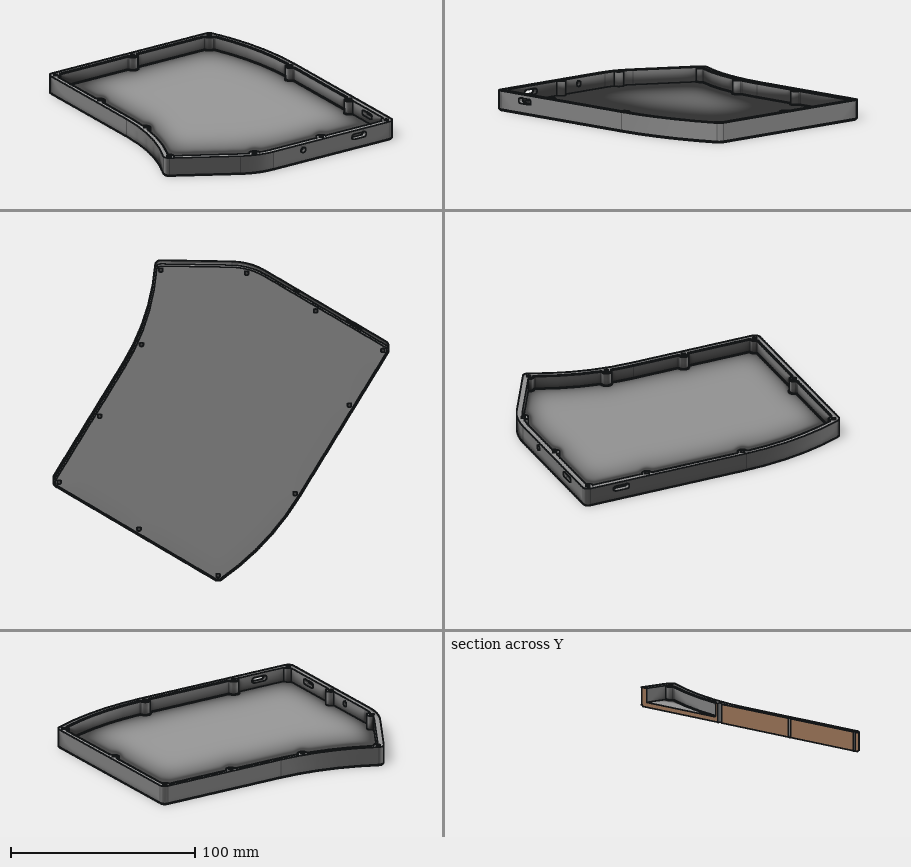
import cadquery as cq
import math

length = 159.5
width = 132.7
height = 11.0
wall = 3.2
floor = 3.0
bottom_chamfer = 1.0

front_y = 13.2
front_arc_start_x = 76.0
back_arc_start_x = 63.0
side_arc_radius = 36.7
slant_angle = math.radians(60)
tip_x = 132.5
back_left_y = 117.0

front_left = (wall, front_y + wall)
tip = (tip_x, wall)
back_right = (length - wall, width - wall)
back_left = (wall, back_left_y)

boss_radius = 2.9
screw_diameter = 2.2
last_back_boss = (120.9, width - wall)
blended_bosses = [
    last_back_boss,
    (63.6, width - wall),
    back_left,
    (wall, 67.0),
    front_left,
    (46.0, front_y + wall),
    (91.7, 15.5),
    tip,
]
plain_bosses = [
    (155.0, 44.0),
    (length - wall, 86.9),
    back_right,
]
blend_radius = 0.6
rim_chamfer = 0.5
floor_chamfer = 0.4

slot_length = 9.4
slot_height = 3.0
side_hole_diameter = 3.0
opening_z = 7.5
back_slot_x = 137.6
side_slot_y = 109.5
side_hole_y = 73.0
opening_depth = 2 * wall

quarter_turn = math.pi / 2
tolerance = 0.02


def polar(center, radius, angle):
    """Point at the given distance and angle from a center."""
    return (center[0] + radius * math.cos(angle), center[1] + radius * math.sin(angle))


def direction(start, end):
    return math.atan2(end[1] - start[1], end[0] - start[0])


def arc_to(path, center, radius, start_angle, end_angle):
    """Extends the path along an arc that begins where the path has arrived."""
    middle = polar(center, radius, (start_angle + end_angle) / 2)
    return path.threePointArc(middle, polar(center, radius, end_angle))


def bending_radius(start, corner, gap):
    """Radius of the arc that leaves start horizontally, bends down and passes below corner by gap.

    A negative gap means that it passes above the corner.
    """
    run = corner[0] - start[0]
    drop = start[1] - corner[1]
    return (run**2 + drop**2 - gap**2) / (2 * (drop + gap))


def outline(inset):
    """Closed tray outline moved inwards; with an inset of one wall the corners are sharp."""
    corner_radius = wall - inset
    slant_normal = slant_angle - quarter_turn

    front_radius = bending_radius((front_arc_start_x, front_y), tip, wall)
    front_center = (front_arc_start_x, front_y - front_radius)
    front_end = direction(front_center, tip)
    back_radius = bending_radius((back_arc_start_x, width), back_left, -wall)
    back_center = (back_arc_start_x, width - back_radius)
    back_end = direction(back_center, back_left)

    slant_start = polar(tip, wall, slant_normal)
    knee_y = slant_start[1] + (length - slant_start[0]) * math.tan(slant_angle)
    side_center_y = knee_y - side_arc_radius * math.tan(slant_normal / 2)
    side_center = (length - side_arc_radius, side_center_y)
    side_radius = side_arc_radius - inset

    def round_corner(path, center, start_angle, end_angle):
        if corner_radius < tolerance:
            return path
        return arc_to(path, center, corner_radius, start_angle, end_angle)

    path = cq.Workplane("XY").moveTo(*polar(front_left, corner_radius, -quarter_turn))
    path = path.lineTo(front_arc_start_x, front_y + inset)
    path = arc_to(path, front_center, front_radius + inset, quarter_turn, front_end)
    path = round_corner(path, tip, front_end - math.pi, slant_normal)
    path = path.lineTo(*polar(side_center, side_radius, slant_normal))
    path = arc_to(path, side_center, side_radius, slant_normal, 0)
    path = path.lineTo(*polar(back_right, corner_radius, 0))
    path = round_corner(path, back_right, 0, quarter_turn)
    path = path.lineTo(back_arc_start_x, width - inset)
    path = arc_to(path, back_center, back_radius - inset, quarter_turn, back_end)
    path = round_corner(path, back_left, back_end, math.pi)
    path = path.lineTo(*polar(front_left, corner_radius, math.pi))
    path = round_corner(path, front_left, math.pi, 3 * quarter_turn)
    return path.close()


def columns(centers, radius):
    return cq.Workplane("XY").pushPoints(centers).circle(radius).extrude(height)


def on_blended_side(edge):
    """Whether the edge lies left of a line through the last back boss and the tip boss."""
    middle = edge.positionAt(0.5)
    along = (middle.y - tip[1]) / (last_back_boss[1] - tip[1])
    dividing_x = tip[0] + along * (last_back_boss[0] - tip[0]) + boss_radius / 2
    return middle.x < dividing_x


def on_blended_boss(edge):
    middle = edge.positionAt(0.5)
    gaps = [math.hypot(middle.x - x, middle.y - y) - boss_radius for x, y in blended_bosses]
    return min(abs(gap) for gap in gaps) < tolerance


def cavity():
    """Space inside the walls, less the bosses."""
    space = outline(wall).extrude(height - floor).translate((0, 0, floor))
    space = space.cut(columns(blended_bosses, boss_radius))
    space = space.edges("|Z").filter(on_blended_boss).filter(on_blended_side).fillet(blend_radius)
    space = space.cut(columns(plain_bosses, boss_radius))
    return space.faces("<Z").edges().filter(on_blended_side).chamfer(floor_chamfer)


def chamfer_rim(tray):
    inner_rim = tray.faces(">Z").val().innerWires()[0]
    return tray.newObject(inner_rim.Edges()).filter(on_blended_side).chamfer(rim_chamfer)


def wall_openings():
    """Slot in the back wall, slot and round hole in the right-hand wall."""
    back_plane = cq.Workplane("XZ", origin=(back_slot_x, width + wall / 2, opening_z))
    back_slot = back_plane.slot2D(slot_length, slot_height).extrude(opening_depth)
    side_plane = cq.Workplane("YZ", origin=(length - 1.5 * wall, 0, opening_z))
    side_slot = side_plane.center(side_slot_y, 0).slot2D(slot_length, slot_height).extrude(opening_depth)
    side_hole = side_plane.center(side_hole_y, 0).circle(side_hole_diameter / 2).extrude(opening_depth)
    return back_slot.union(side_slot).union(side_hole)


tray = outline(0).extrude(height)
tray = tray.faces("<Z").edges().chamfer(bottom_chamfer)
tray = chamfer_rim(tray.cut(cavity()))
tray = tray.cut(columns(blended_bosses + plain_bosses, screw_diameter / 2))
result = tray.cut(wall_openings())